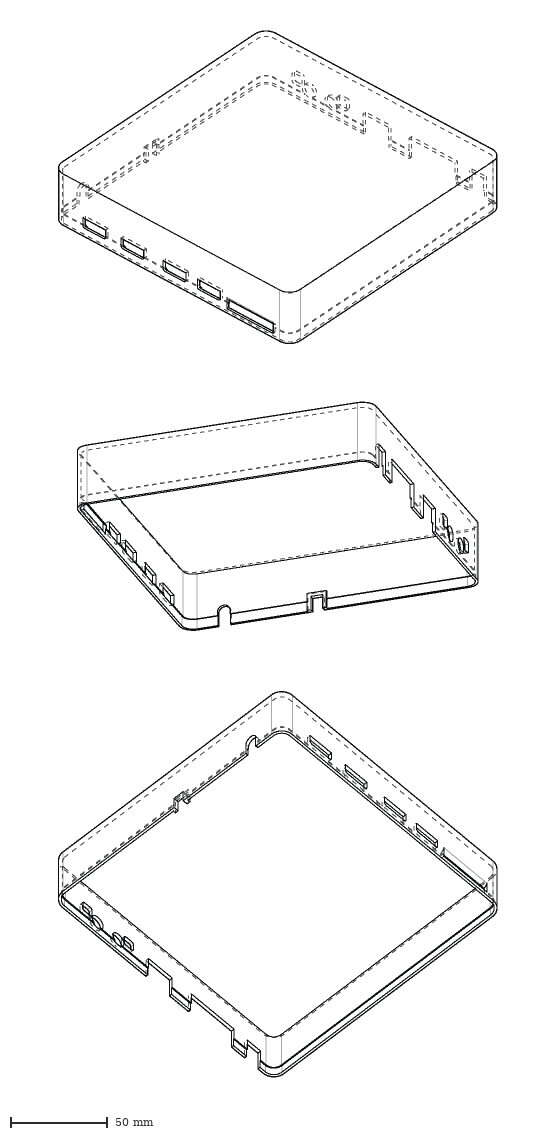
import cadquery as cq

LENGTH = 165.0
WIDTH = 163.9
HEIGHT = 33.0
CORNER_RADIUS = 7.6
WALL = 2.0

REBATE_HEIGHT = 5.5
REBATE_DEPTH = 0.5

WINDOW_WIDTH = 15.8
WINDOW_BOTTOM = REBATE_HEIGHT
WINDOW_HEIGHT = 6.1
WINDOW_CORNER_RADIUS = 1.5
WINDOW_CENTERS = [-53.6, -27.2, 2.0, 25.7]

SLOT_LEFT = 38.3
SLOT_RIGHT = 70.3
SLOT_BOTTOM = 2.8
SLOT_TOP = 7.5
SLOT_EDGE_RADIUS = 2.6

SQUARE_NOTCH_Y = -8.1
SQUARE_NOTCH_WIDTH = 6.5
SQUARE_NOTCH_HEIGHT = 7.6
NOTCH_PAD_DEPTH = 3.0
NOTCH_PAD_BORDER = 2.0
ARCH_NOTCH_Y = -59.6
ARCH_NOTCH_WIDTH = 7.0
ARCH_NOTCH_HEIGHT = 10.9

JACK_PAIR_CENTER = -42.9
JACK_OFFSET = 7.8
JACK_DIAMETER = 8.1
JACK_HEIGHT = 8.6
PORT_OFFSET = 15.5
PORT_SIZE = 6.8
PORT_BOTTOM = 8.9
PORT_CORNER_RADIUS = 1.3

REAR_OPENING_HEIGHT = 13.2
REAR_OPENINGS = [(-12.7, 5.0), (19.1, 51.2), (61.0, 71.0)]

FRONT_Y = -WIDTH / 2
REAR_Y = WIDTH / 2
CUT_DEPTH = 6.6


def rounded_block(inset, top):
    """Block standing on the rim plane, inset from the outer walls."""
    return (
        cq.Workplane("XY")
        .rect(LENGTH - 2 * inset, WIDTH - 2 * inset)
        .extrude(top)
        .edges("|Z")
        .fillet(CORNER_RADIUS - inset)
    )


def wall_box(left, right, bottom, top, wall_y):
    """Box that passes through the front or rear wall."""
    return (
        cq.Workplane("XY", origin=((left + right) / 2, wall_y, bottom))
        .box(right - left, 2 * CUT_DEPTH, top - bottom, centered=(True, True, False))
    )


def make_shell():
    cavity = rounded_block(WALL, HEIGHT - WALL)
    rebate = rounded_block(WALL - REBATE_DEPTH, REBATE_HEIGHT)
    return rounded_block(0, HEIGHT).cut(cavity).cut(rebate)


def add_notch_pad(body):
    """Thicken the left wall from the inside around the square notch."""
    pad_width = SQUARE_NOTCH_WIDTH + 2 * NOTCH_PAD_BORDER
    pad_height = SQUARE_NOTCH_HEIGHT + NOTCH_PAD_BORDER
    pad = cq.Workplane("XY", origin=(-LENGTH / 2, SQUARE_NOTCH_Y, 0)).box(
        NOTCH_PAD_DEPTH, pad_width, pad_height, centered=(False, True, False)
    )
    return body.union(pad)


def cut_windows(body):
    for center in WINDOW_CENTERS:
        window = wall_box(
            center - WINDOW_WIDTH / 2,
            center + WINDOW_WIDTH / 2,
            WINDOW_BOTTOM,
            WINDOW_BOTTOM + WINDOW_HEIGHT,
            FRONT_Y,
        )
        body = body.cut(window.faces("<Z").edges("|Y").fillet(WINDOW_CORNER_RADIUS))
    return body


def cut_terminal_slot(body):
    body = body.cut(wall_box(SLOT_LEFT, SLOT_RIGHT, SLOT_BOTTOM, SLOT_TOP, FRONT_Y))
    axis_y = FRONT_Y + SLOT_EDGE_RADIUS
    axis_z = SLOT_TOP + SLOT_EDGE_RADIUS
    slot_length = SLOT_RIGHT - SLOT_LEFT
    round_over = (
        cq.Workplane("YZ", origin=(SLOT_LEFT, 0, 0))
        .moveTo(FRONT_Y, SLOT_TOP)
        .lineTo(axis_y, SLOT_TOP)
        .radiusArc((FRONT_Y, axis_z), SLOT_EDGE_RADIUS)
        .close()
        .extrude(slot_length)
    )
    return body.cut(round_over)


def cut_left_notches(body):
    left_wall = cq.Workplane("YZ", origin=(-LENGTH / 2, 0, 0))
    square_notch = (
        left_wall.center(SQUARE_NOTCH_Y, 0)
        .rect(SQUARE_NOTCH_WIDTH, 2 * SQUARE_NOTCH_HEIGHT)
        .extrude(CUT_DEPTH)
    )
    arch_radius = ARCH_NOTCH_WIDTH / 2
    spring_line = ARCH_NOTCH_HEIGHT - arch_radius
    arch_notch = (
        left_wall.center(ARCH_NOTCH_Y, 0)
        .moveTo(-arch_radius, 0)
        .lineTo(-arch_radius, spring_line)
        .threePointArc((0, ARCH_NOTCH_HEIGHT), (arch_radius, spring_line))
        .lineTo(arch_radius, 0)
        .close()
        .extrude(CUT_DEPTH)
    )
    return body.cut(square_notch).cut(arch_notch)


def cut_rear_jacks(body):
    for side in (-1, 1):
        hole = (
            cq.Workplane("XZ", origin=(JACK_PAIR_CENTER + side * JACK_OFFSET, REAR_Y, JACK_HEIGHT))
            .circle(JACK_DIAMETER / 2)
            .extrude(CUT_DEPTH)
        )
        port_center = JACK_PAIR_CENTER + side * PORT_OFFSET
        port = wall_box(
            port_center - PORT_SIZE / 2,
            port_center + PORT_SIZE / 2,
            PORT_BOTTOM,
            PORT_BOTTOM + PORT_SIZE,
            REAR_Y,
        )
        body = body.cut(hole).cut(port.edges("|Y").fillet(PORT_CORNER_RADIUS))
    return body


def cut_rear_openings(body):
    for left, right in REAR_OPENINGS:
        body = body.cut(wall_box(left, right, 0, REAR_OPENING_HEIGHT, REAR_Y))
    return body


result = make_shell()
result = add_notch_pad(result)
result = cut_windows(result)
result = cut_terminal_slot(result)
result = cut_left_notches(result)
result = cut_rear_jacks(result)
result = cut_rear_openings(result)